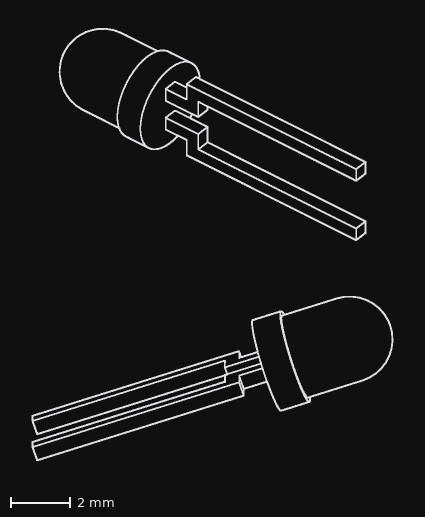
import cadquery as cq

total_length = 12.61
flange_diameter = 3.2
body_radius = 1.45
body_length = 4.38
flange_length = 1.0

lead_width = 0.5
inner_lead_offset = 0.62
outer_lead_offset = 1.27
crank_end = 5.79


def make_body():
    """Cylinder with a hemispherical nose, revolved about X."""
    nose_rise = body_radius * 0.5**0.5
    return (
        cq.Workplane("XY")
        .moveTo(0, 0)
        .threePointArc((body_radius - nose_rise, nose_rise), (body_radius, body_radius))
        .lineTo(body_length, body_radius)
        .lineTo(body_length, 0)
        .close()
        .revolve(360, (0, 0, 0), (1, 0, 0))
    )


def make_flange():
    """Plain collar at the back of the body."""
    return (
        cq.Workplane("YZ", origin=(body_length - flange_length, 0, 0))
        .circle(flange_diameter / 2)
        .extrude(flange_length)
    )


def make_lead(side):
    """Cranked lead above (side = 1) or below (side = -1) the axis."""
    half_width = lead_width / 2
    crank_start = crank_end - lead_width
    inner_low = side * (inner_lead_offset - half_width)
    inner_high = side * (inner_lead_offset + half_width)
    outer_low = side * (outer_lead_offset - half_width)
    outer_high = side * (outer_lead_offset + half_width)
    outline = [
        (body_length, inner_low),
        (crank_end, inner_low),
        (crank_end, outer_low),
        (total_length, outer_low),
        (total_length, outer_high),
        (crank_start, outer_high),
        (crank_start, inner_high),
        (body_length, inner_high),
    ]
    return cq.Workplane("XZ").polyline(outline).close().extrude(half_width, both=True)


result = make_body().union(make_flange())
for side in (1, -1):
    result = result.union(make_lead(side))